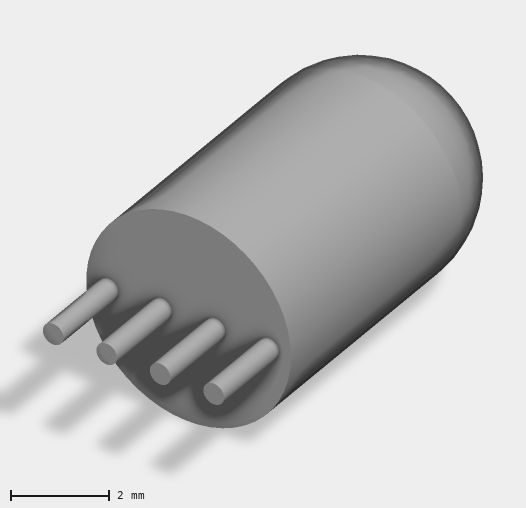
import cadquery as cq

total_length = 10.7
body_diameter = 5.0
pin_length = 2.0
pin_diameter = 0.5
pin_pitch = 1.31
pin_count = 4

body_radius = body_diameter / 2
body_length = total_length - pin_length
shoulder_y = body_length - body_radius


def make_body():
    """Cylinder with a hemispherical dome, revolved about the Y axis."""
    dome_offset = body_radius * 0.5 ** 0.5
    profile = (
        cq.Workplane("XY")
        .lineTo(body_radius, 0)
        .lineTo(body_radius, shoulder_y)
        .threePointArc((dome_offset, shoulder_y + dome_offset), (0, body_length))
        .close()
    )
    return profile.revolve(360, (0, 0, 0), (0, 1, 0))


def make_pins():
    """Single centred row of round pins extending from the base toward -Y."""
    return (
        cq.Workplane("XZ")
        .rarray(pin_pitch, 0.11, pin_count, 1)
        .circle(pin_diameter / 2)
        .extrude(pin_length)
    )


result = make_body().union(make_pins())